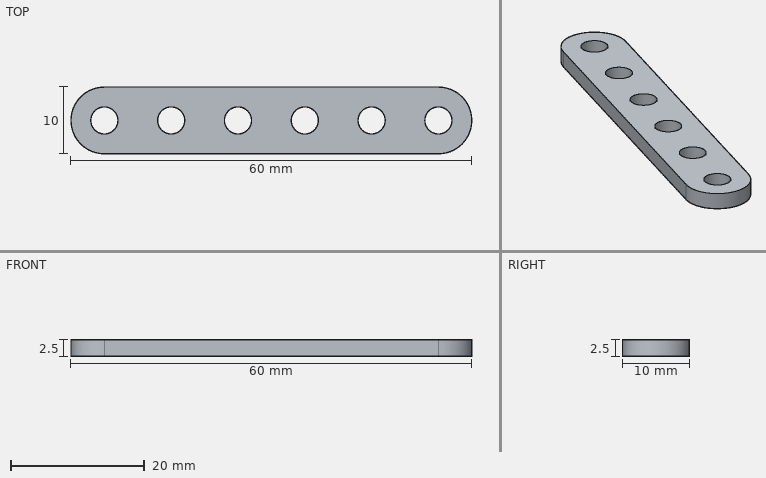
import cadquery as cq

length = 60.0
width = 10.0
thickness = 2.5
hole_diameter = 4.0
hole_count = 6

hole_pitch = (length - width) / (hole_count - 1)

bar = cq.Workplane("XY").slot2D(length, width).extrude(thickness)

result = (
    bar.faces(">Z")
    .workplane()
    .rarray(hole_pitch, 0.6, hole_count, 1)
    .hole(hole_diameter)
)